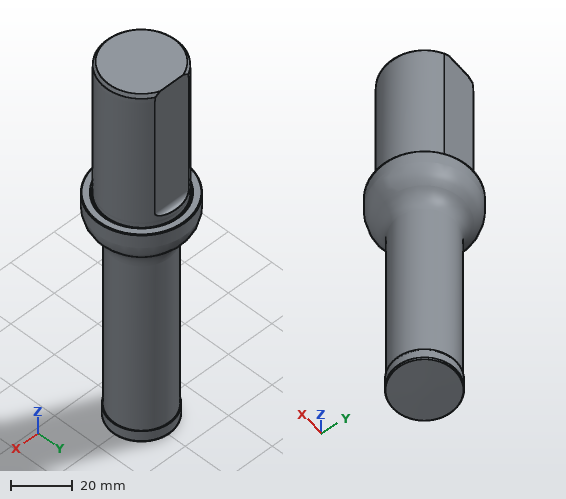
import cadquery as cq

total_height = 162.0

shank_radius = 31.9 / 2
relief_radius = 31.8 / 2
top_chamfer_width = 1.0
top_chamfer_height = 1.3
upper_relief_bottom = 159.9
upper_taper_bottom = 159.0
lower_taper_top = 104.2
lower_taper_bottom = 103.4

flat_offset = 14.0
flat_bottom = 105.6

collar_radius = 39.5 / 2
collar_top = 102.2
collar_bottom = 96.2
collar_chamfer = 0.3
groove_radius = 16.8
groove_floor_radius = 16.4
groove_depth = 0.5

neck_radius = 25.1 / 2
neck_top = 80.7

tip_radius = 13.0
tip_height = 5.5
tip_chamfer_top = 1.1
tip_chamfer_width = 0.3
tip_cone_height = 0.5


def make_flat_cutter():
    """Block that cuts the flat, with a rounded run-out at its lower end."""
    runout_radius = shank_radius - flat_offset
    width = 2 * collar_radius
    return (
        cq.Workplane("YZ")
        .moveTo(flat_offset, total_height)
        .lineTo(flat_offset, flat_bottom + runout_radius)
        .radiusArc((shank_radius, flat_bottom), -runout_radius)
        .lineTo(collar_radius, flat_bottom)
        .lineTo(collar_radius, total_height)
        .close()
        .extrude(width / 2, both=True)
    )


def make_holder():
    """Turned shank, collar and neck, with the flat cut into the shank."""
    flare_width = collar_radius - neck_radius
    flare_height = collar_bottom - neck_top
    flare_middle = (neck_radius + flare_width / 2, neck_top + flare_height / 2)
    flare_radius = (flare_width**2 + flare_height**2) / (4 * flare_width)
    groove_floor = collar_top - groove_depth

    turned = (
        cq.Workplane("XZ")
        .moveTo(0, tip_height)
        .lineTo(neck_radius, tip_height)
        .lineTo(neck_radius, neck_top)
        .radiusArc(flare_middle, flare_radius)
        .radiusArc((collar_radius, collar_bottom), -flare_radius)
        .lineTo(collar_radius, collar_top - collar_chamfer)
        .lineTo(collar_radius - collar_chamfer, collar_top)
        .lineTo(groove_radius, collar_top)
        .lineTo(groove_floor_radius, groove_floor)
        .lineTo(relief_radius, groove_floor)
        .lineTo(relief_radius, lower_taper_bottom)
        .lineTo(shank_radius, lower_taper_top)
        .lineTo(shank_radius, upper_taper_bottom)
        .lineTo(relief_radius, upper_relief_bottom)
        .lineTo(relief_radius, total_height - top_chamfer_height)
        .lineTo(relief_radius - top_chamfer_width, total_height)
        .lineTo(0, total_height)
        .close()
        .revolve(360, (0, 0, 0), (0, 1, 0))
    )
    return turned.cut(make_flat_cutter())


def make_tip():
    """Cap on the lower end of the neck."""
    return (
        cq.Workplane("XZ")
        .lineTo(tip_radius - tip_chamfer_width, tip_cone_height)
        .lineTo(tip_radius, tip_chamfer_top)
        .lineTo(tip_radius, tip_height)
        .lineTo(0, tip_height)
        .close()
        .revolve(360, (0, 0, 0), (0, 1, 0))
    )


holder = make_holder()
tip = make_tip()

result = cq.Compound.makeCompound([holder.val(), tip.val()])